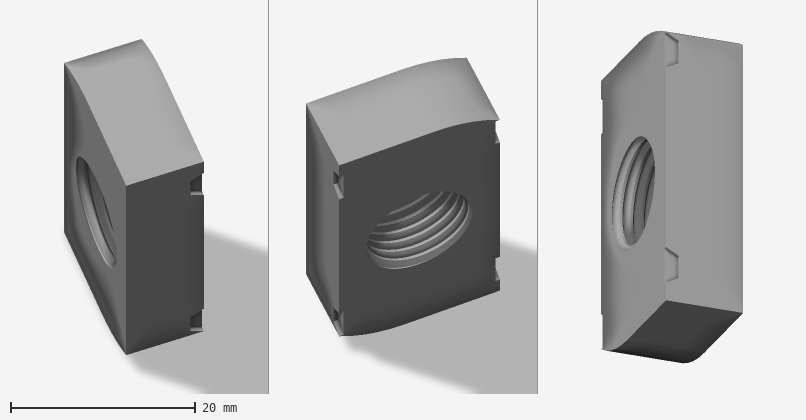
import cadquery as cq
import math

length = 34.0
width = 19.0
thickness = 9.0
corner_radius = 15.0
corner_run = 7.65

notch_offset = 12.8
notch_mouth = 4.2
notch_floor = 2.6
notch_depth = 1.53
notch_reach = 0.5

minor_diameter = 11.9
major_diameter = 13.4
thread_pitch = 1.25
crest_flat = thread_pitch / 4
root_flat = thread_pitch / 8
cutter_overlap = 0.15
thread_start_angle = 330.0


def plate():
    """Rectangular plate with two diagonally opposite corners rounded by shallow arcs."""
    half_width = width / 2
    half_length = length / 2
    center_x = corner_run - half_width
    center_z = half_length - corner_radius

    def arc_point(run):
        return (center_x - run, center_z + math.sqrt(corner_radius**2 - run**2))

    def opposite(point):
        return (-point[0], -point[1])

    arc_start = arc_point(corner_run)
    arc_middle = arc_point(corner_run / 2)
    arc_end = arc_point(0)
    return (
        cq.Workplane("XZ")
        .moveTo(*arc_start)
        .threePointArc(arc_middle, arc_end)
        .lineTo(half_width, half_length)
        .lineTo(*opposite(arc_start))
        .threePointArc(opposite(arc_middle), opposite(arc_end))
        .lineTo(-half_width, -half_length)
        .close()
        .extrude(thickness / 2, both=True)
    )


def side_notch(side, end):
    """Trapezoidal notch; side picks the X side and end picks the Z end."""
    back = thickness / 2
    outline = [
        (back, -notch_mouth / 2),
        (back - notch_depth, -notch_floor / 2),
        (back - notch_depth, notch_floor / 2),
        (back, notch_mouth / 2),
    ]
    return (
        cq.Workplane("YZ", origin=(side * (width - notch_reach) / 2, 0, end * notch_offset))
        .polyline(outline)
        .close()
        .extrude(notch_reach / 2, both=True)
    )


def thread_bore():
    """Plain bore along Y at the minor diameter of the thread."""
    return cq.Workplane("XZ").circle(minor_diameter / 2).extrude(thickness / 2, both=True)


def groove_turn():
    """One turn of the trapezoidal thread groove about Y, starting at +X and advancing towards -Y."""
    inner = minor_diameter / 2 - cutter_overlap
    outer = major_diameter / 2
    flank_slope = (thread_pitch - crest_flat - root_flat) / (major_diameter - minor_diameter)
    inner_half = (thread_pitch - crest_flat) / 2 + cutter_overlap * flank_slope
    outer_half = root_flat / 2
    profile = [
        (inner, -inner_half),
        (outer, -outer_half),
        (outer, outer_half),
        (inner, inner_half),
    ]
    helix = cq.Wire.makeHelix(thread_pitch, thread_pitch, minor_diameter / 2)
    turn = cq.Workplane("XZ").polyline(profile).close().sweep(cq.Workplane(obj=helix), isFrenet=True)
    return turn.rotate((0, 0, 0), (1, 0, 0), 90)


result = plate().cut(thread_bore())

for side in (-1, 1):
    for end in (-1, 1):
        result = result.cut(side_notch(side, end))

single_turn = groove_turn()
first_turn_y = -thickness / 2 + thread_pitch * thread_start_angle / 360
for turn_number in range(-1, math.ceil(thickness / thread_pitch) + 1):
    turn_y = first_turn_y + turn_number * thread_pitch
    result = result.cut(single_turn.translate((0, turn_y, 0)))

result = cq.Workplane(result.solids().val())